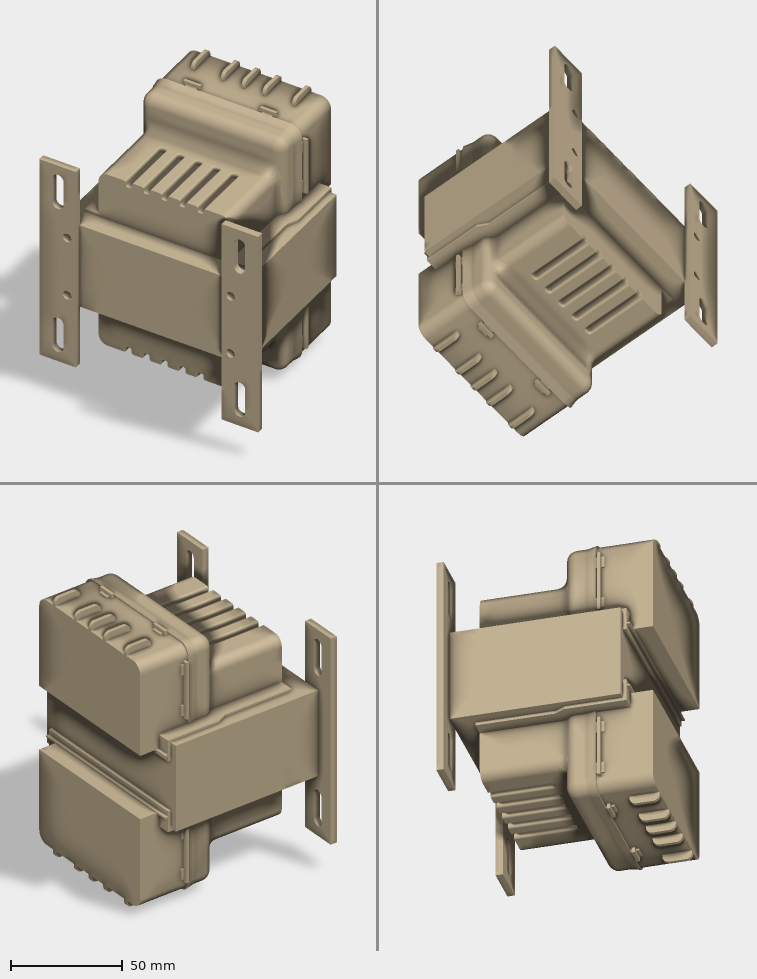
import cadquery as cq
import math


overall_width = 114.3
foot_outer_x = overall_width / 2
foot_inner_x = 38.0
foot_thickness = 3.4
foot_length = 107.8
slot_x = 47.4
slot_z = 39.4
slot_length = 18.8
slot_width = 5.8
screw_hole_x = 42.7
screw_hole_z = 15.8
screw_hole_diameter = 4.5

core_half_width = 47.8
core_half_stack = 22.4
core_back_y = 82.9
core_split_y = 66.9

flange_thickness = 1.5
flange_front_y = 13.6
flange_front_half_width = 41.6
flange_back_half_width = 44.2
flange_taper_start_y = 50.8
flange_taper_end_y = 55.9
lip_thickness = 1.6
lip_bottom_z = 13.0
lip_rib_height = 0.8

seam_y = 68.6
back_y = 95.0
wide_half_width = 37.5
wide_half_height = 63.9
wide_front_y = 53.8
wide_corner_radius = 5.3
step_radius = 5.0
cap_overhang_z = 16.6
rim_start_y = 63.9
rim_flare = 1.0
narrow_half_width = 34.4
narrow_half_height = 47.2
narrow_corner_radius = 4.8

groove_pitch = 9.4
groove_count = 5
groove_width = 3.1
groove_depth = 3.1
groove_end_y = 43.6
groove_round = 1.02
groove_lip_radius = 1.02

inner_fin_x = 10.9
outer_fin_x = 26.4
fin_thickness = 1.8
fin_top_z = 68.0
fin_front_y = 81.1
fin_corner_radius = 3.0
catch_front_y = 69.7
catch_back_y = 71.2
catch_height = 2.6
tongue_back_y = 72.7
tongue_height = 1.0
tongue_width = 5.5
top_catch_x = 19.8
top_catch_length = 8.5
side_catch_z = 42.8
side_catch_length = 29.6
side_tongue_spacing = 21.2

pick_margin = 0.1
step_pick_depth = 0.8

core_top = core_half_stack
flange_top = core_half_stack + flange_thickness
lip_back_y = core_back_y + lip_thickness


def block(x0, x1, y0, y1, z0, z1):
    """Box between two opposite corners."""
    return cq.Workplane("XY").box(x1 - x0, y1 - y0, z1 - z0, centered=False).translate((x0, y0, z0))


def rounded_bar(half_width, half_height, y0, y1, radius):
    """Bar along Y, centred on the Y axis, with its four long edges rounded."""
    bar = block(-half_width, half_width, y0, y1, -half_height, half_height)
    return bar.edges("|Y").fillet(radius)


def above_core(body):
    """The portion of a body that lies above the top face of the core."""
    reach = 2 * wide_half_height
    return body.intersect(block(-reach, reach, 0, reach, core_top, reach))


def make_foot(side):
    """Flat bar with two mounting slots and two screw holes; side is -1 or 1."""
    inner, outer = sorted([side * foot_inner_x, side * foot_outer_x])
    foot = block(inner, outer, 0, foot_thickness, -foot_length / 2, foot_length / 2)
    slots = (
        cq.Workplane("XZ")
        .pushPoints([(side * slot_x, slot_z), (side * slot_x, -slot_z)])
        .slot2D(slot_length, slot_width, 90)
        .extrude(-foot_thickness)
    )
    holes = (
        cq.Workplane("XZ")
        .pushPoints([(side * screw_hole_x, screw_hole_z), (side * screw_hole_x, -screw_hole_z)])
        .circle(screw_hole_diameter / 2)
        .extrude(-foot_thickness)
    )
    return foot.cut(slots).cut(holes)


def make_core_block(front_y, end_y):
    """Stack of laminations between two Y positions."""
    return block(-core_half_width, core_half_width, front_y, end_y, -core_half_stack, core_half_stack)


def make_shroud_flange():
    """Thin plate on the core, wider at the seam than at the front."""
    right_side = [
        (flange_front_half_width, flange_front_y),
        (flange_front_half_width, flange_taper_start_y),
        (flange_back_half_width, flange_taper_end_y),
        (flange_back_half_width, seam_y),
    ]
    left_side = [(-x, y) for x, y in reversed(right_side)]
    flange = cq.Workplane("XY").workplane(offset=core_top).polyline(right_side + left_side).close()
    return flange.extrude(flange_thickness)


def make_rim():
    """Flared band around the wide block, thickest at the seam."""
    length = seam_y - rim_start_y
    flare_angle = math.degrees(math.atan(rim_flare / length))
    section = cq.Sketch().rect(2 * wide_half_width, 2 * wide_half_height)
    section = section.vertices().fillet(wide_corner_radius)
    start = cq.Workplane("XZ", origin=(0, rim_start_y, 0))
    return start.placeSketch(section).extrude(-length, taper=-flare_angle)


def cut_vent_grooves(shroud):
    """Round-bottomed grooves with softened lips, open at the front face."""
    floor_z = narrow_half_height - groove_depth
    first = -(groove_count - 1) / 2 * groove_pitch
    half = groove_width / 2
    for index in range(groove_count):
        x = first + index * groove_pitch
        groove = block(x - half, x + half, 0, groove_end_y, floor_z, wide_half_height)
        groove = groove.edges("|Z and >Y").fillet(groove_round)
        groove = groove.faces("<Z").edges("not <Y").fillet(groove_round)
        shroud = shroud.cut(groove)
    lip_zone = cq.selectors.BoxSelector(
        (first - groove_width, flange_front_y + groove_width, narrow_half_height - pick_margin),
        (-first + groove_width, groove_end_y + pick_margin, narrow_half_height + pick_margin),
    )
    return shroud.edges(lip_zone).fillet(groove_lip_radius)


def make_shroud():
    """Front half of the upper housing: wide block, winding cover, rim, flange and vents."""
    wide = rounded_bar(wide_half_width, wide_half_height, wide_front_y, seam_y, wide_corner_radius)
    wide = wide.faces("<Y").edges().fillet(step_radius)
    narrow = rounded_bar(narrow_half_width, narrow_half_height, flange_front_y, seam_y, narrow_corner_radius)
    shroud = wide.union(narrow)
    step_zone = cq.selectors.BoxSelector(
        (-narrow_half_width - pick_margin, wide_front_y - pick_margin, -narrow_half_height - pick_margin),
        (narrow_half_width + pick_margin, wide_front_y + step_pick_depth, narrow_half_height + pick_margin),
    )
    shroud = shroud.edges(step_zone).fillet(step_radius)
    shroud = above_core(shroud.union(make_rim()))
    return cut_vent_grooves(shroud.union(make_shroud_flange()))


def make_fin(x):
    """Upright blade on the cap with its two free corners rounded."""
    half = fin_thickness / 2
    fin = block(x - half, x + half, fin_front_y, back_y, core_top, fin_top_z)
    return fin.faces(">Z").edges("|X").fillet(fin_corner_radius)


def make_top_catch(x):
    """Crossbar on a tongue, on the top face of the cap."""
    half_bar = top_catch_length / 2
    half_tongue = tongue_width / 2
    bar_top = wide_half_height + catch_height
    tongue_top = wide_half_height + tongue_height
    bar = block(x - half_bar, x + half_bar, catch_front_y, catch_back_y, core_top, bar_top)
    tongue = block(x - half_tongue, x + half_tongue, seam_y, tongue_back_y, core_top, tongue_top)
    return bar.union(tongue)


def make_side_catches():
    """Long crossbar on two tongues, on both side faces of the cap."""
    bar_x = wide_half_width + catch_height
    half_bar = side_catch_length / 2
    catches = block(
        -bar_x, bar_x, catch_front_y, catch_back_y, side_catch_z - half_bar, side_catch_z + half_bar
    )
    tongue_x = wide_half_width + tongue_height
    half_tongue = tongue_width / 2
    for side in (-1, 1):
        z = side_catch_z + side * side_tongue_spacing / 2
        tongue = block(-tongue_x, tongue_x, seam_y, tongue_back_y, z - half_tongue, z + half_tongue)
        catches = catches.union(tongue)
    return catches


def make_cap():
    """Back half of the upper housing, hooked over the back edge of the core."""
    half = flange_back_half_width
    shell = rounded_bar(wide_half_width, wide_half_height, seam_y, back_y, wide_corner_radius)
    cap = above_core(shell)
    overhang = block(-wide_half_width, wide_half_width, core_back_y, back_y, cap_overhang_z, flange_top)
    flange = block(-half, half, seam_y, lip_back_y, core_top, flange_top)
    lip = block(-half, half, core_back_y, lip_back_y, lip_bottom_z, flange_top)
    rib = block(
        -half, half, lip_back_y, lip_back_y + lip_thickness, cap_overhang_z - lip_rib_height, cap_overhang_z
    )
    for feature in (overhang, flange, lip, rib, make_side_catches()):
        cap = cap.union(feature)
    for x in (-outer_fin_x, -inner_fin_x, 0, inner_fin_x, outer_fin_x):
        cap = cap.union(make_fin(x))
    for x in (-top_catch_x, top_catch_x):
        cap = cap.union(make_top_catch(x))
    return cap


feet = [make_foot(side).val() for side in (-1, 1)]
core_body = make_core_block(foot_thickness, core_split_y)
core_yoke = make_core_block(core_split_y, core_back_y)

upper_shroud = make_shroud()
upper_cap = make_cap()
shrouds = [upper_shroud.val(), upper_shroud.mirror("XY").val()]
caps = [upper_cap.val(), upper_cap.mirror("XY").val()]

result = cq.Compound.makeCompound([*feet, core_body.val(), core_yoke.val(), *shrouds, *caps])